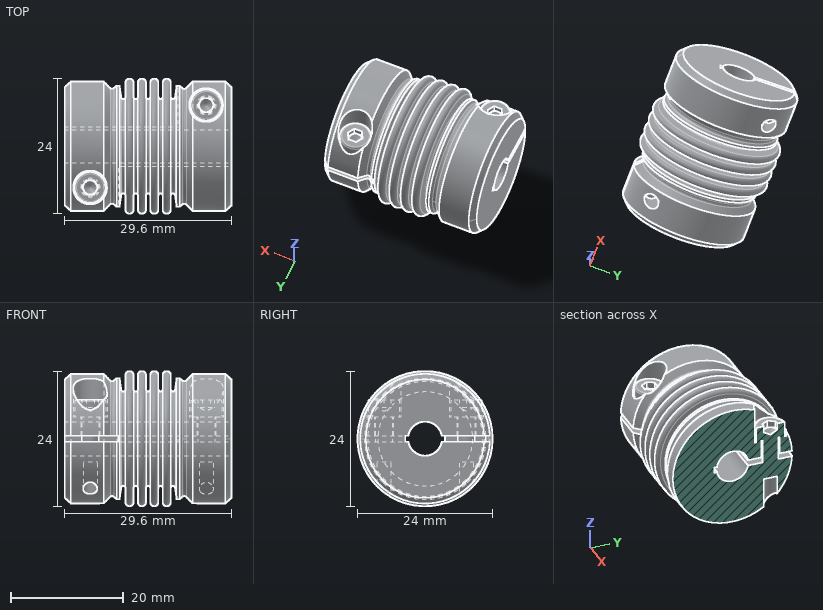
import cadquery as cq
import math


total_length = 29.56
half_length = total_length / 2
bore_diameter = 6.0
hub_radius = 11.5
hub_face_radius = 10.5
hub_chamfer_length = 1.1
hub_shoulder_x = 7.9
groove_edge_radius = 10.33
groove_depth = 0.13
groove_width = 0.66
flange_radius = 21.5 / 2
flange_cone_length = 0.5
flange_width = 0.56
shoulder_drop = hub_radius - groove_edge_radius
groove_outer_x = hub_shoulder_x - shoulder_drop
groove_inner_x = groove_outer_x - groove_width
flange_outer_x = groove_inner_x - flange_cone_length
flange_inner_x = flange_outer_x - flange_width

bellows_radius = 12.0
convolution_count = 4
convolution_pitch = 2.2
convolution_width = 1.47
crest_arc_radius = convolution_width / 2
root_width = convolution_pitch - convolution_width
root_arc_radius = root_width / 2
root_radius = 8.38
end_disc_radius = 20.9 / 2
end_disc_x = (convolution_count * convolution_pitch + root_width) / 2

slot_width = 1.0
slot_depth = 9.5
keyway_reach = 3.5

screw_from_end = 4.5
screw_x = -half_length + screw_from_end
screw_y = -7.3
head_diameter = 5.5
head_height = 3.0
head_top_z = 6.9
head_seat_z = head_top_z - head_height
head_edge_fillet = 0.3
shank_diameter = 3.0
screw_length = 8.0
socket_across_flats = 2.5
socket_depth = 1.3
socket_tip_half_angle = 60.0
counterbore_diameter = 6.0
clearance_diameter = 3.4
tapped_core_diameter = 2.5


def upright_cylinder(diameter, bottom_z, top_z):
    """Cylinder on the clamp screw axis of the -X hub."""
    return (
        cq.Workplane("XY", origin=(screw_x, screw_y, bottom_z))
        .circle(diameter / 2)
        .extrude(top_z - bottom_z)
    )


def make_hub_blank():
    """Turned -X hub, from its outer face up to the inner face of the flange."""
    groove_middle_x = (groove_outer_x + groove_inner_x) / 2
    return (
        cq.Workplane("XY")
        .moveTo(-half_length, 0)
        .lineTo(-half_length, hub_face_radius)
        .lineTo(-half_length + hub_chamfer_length, hub_radius)
        .lineTo(-hub_shoulder_x, hub_radius)
        .lineTo(-groove_outer_x, groove_edge_radius)
        .threePointArc(
            (-groove_middle_x, groove_edge_radius - groove_depth),
            (-groove_inner_x, groove_edge_radius),
        )
        .lineTo(-flange_outer_x, flange_radius)
        .lineTo(-flange_inner_x, flange_radius)
        .lineTo(-flange_inner_x, 0)
        .close()
        .revolve(360, (0, 0, 0), (1, 0, 0))
    )


def make_bellows():
    """Solid bellows with rounded crests and roots, closed by a tapered disc at each end."""
    crest_base_radius = bellows_radius - crest_arc_radius
    root_top_radius = root_radius + root_arc_radius
    outline = (
        cq.Workplane("XY")
        .moveTo(-flange_inner_x, 0)
        .lineTo(-flange_inner_x, end_disc_radius)
        .lineTo(-end_disc_x, root_top_radius)
    )
    root_start = -end_disc_x
    for _ in range(convolution_count):
        crest_start = root_start + root_width
        crest_end = crest_start + convolution_width
        outline = (
            outline.threePointArc(
                (root_start + root_arc_radius, root_radius), (crest_start, root_top_radius)
            )
            .lineTo(crest_start, crest_base_radius)
            .threePointArc(
                (crest_start + crest_arc_radius, bellows_radius), (crest_end, crest_base_radius)
            )
            .lineTo(crest_end, root_top_radius)
        )
        root_start = crest_end
    return (
        outline.threePointArc(
            (root_start + root_arc_radius, root_radius), (end_disc_x, root_top_radius)
        )
        .lineTo(flange_inner_x, end_disc_radius)
        .lineTo(flange_inner_x, 0)
        .close()
        .revolve(360, (0, 0, 0), (1, 0, 0))
    )


def make_slot():
    """Clamping slot of the -X hub, from the axis out through the -Y side."""
    slot = cq.Workplane("XY").box(
        slot_depth, bellows_radius, slot_width, centered=(False, False, True)
    )
    return slot.translate((-half_length, -bellows_radius, 0))


def make_screw_holes():
    """Counterbore, clearance hole and tapped hole of the -X hub clamp screw."""
    counterbore = upright_cylinder(counterbore_diameter, head_seat_z, bellows_radius)
    clearance_hole = upright_cylinder(clearance_diameter, 0, head_seat_z)
    tapped_hole = upright_cylinder(tapped_core_diameter, -bellows_radius, 0)
    return counterbore.union(clearance_hole).union(tapped_hole)


def make_screw():
    """Socket head cap screw of the -X hub."""
    head = upright_cylinder(head_diameter, head_seat_z, head_top_z)
    head = head.faces(">Z").edges().fillet(head_edge_fillet)
    shank = upright_cylinder(shank_diameter, head_seat_z - screw_length, head_seat_z)
    socket_floor_z = head_top_z - socket_depth
    socket = (
        cq.Workplane("XY", origin=(screw_x, screw_y, socket_floor_z))
        .polygon(6, socket_across_flats / math.cos(math.pi / 6))
        .extrude(socket_depth)
    )
    tip_radius = socket_across_flats / 2
    tip_depth = tip_radius / math.tan(math.radians(socket_tip_half_angle))
    tip = cq.Workplane(
        cq.Solid.makeCone(
            tip_radius, 0, tip_depth, cq.Vector(screw_x, screw_y, socket_floor_z), cq.Vector(0, 0, -1)
        )
    )
    return head.union(shank).cut(socket).cut(tip)


def make_bore():
    """Through bore with a shallow keyway on its +Y and -Y sides."""
    bore = cq.Workplane("YZ").circle(bore_diameter / 2).extrude(half_length, both=True)
    keyways = cq.Workplane("XY").box(total_length, 2 * keyway_reach, slot_width)
    return bore.union(keyways)


def turned(body):
    """The same body placed on the +X hub."""
    return body.rotate((0, 0, 0), (0, 0, 1), 180)


hub_blank = make_hub_blank()
hub_cuts = make_slot().union(make_screw_holes())
screw = make_screw()

body = make_bellows().union(hub_blank).union(turned(hub_blank))
body = body.cut(make_bore()).cut(hub_cuts).cut(turned(hub_cuts))
result = body.union(screw).union(turned(screw))